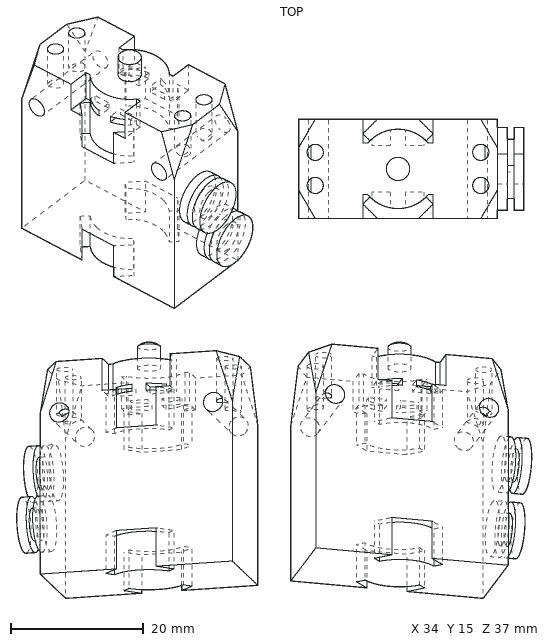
import cadquery as cq
import math

body_length = 30.0
body_width = 15.0
body_height = 33.0
half_length = body_length / 2
half_width = body_width / 2

facet_x = 2.5
facet_y = 4.33
facet_z = 8.0

plunger_diameter = 3.5
plunger_height = 4.0
dome_height = 0.65

cross_hole_diameter = 3.0
cross_hole_inset = 3.0
cross_hole_drop = 8.0
top_hole_diameter = 2.45
top_hole_inset = 2.5
top_hole_spacing = 5.0
top_hole_depth = 7.0

column_diameter = 12.0
corner_reach = half_width / math.sqrt(2)
mouth_half_width = 2 * corner_reach - half_width
upper_recess_depth = 5.0
upper_recess_floor = 3.9
upper_channel_depth = 11.0
lower_channel_depth = 6.0

window_inner_x = 1.1
window_outer_x = 3.92
window_height = 1.07
window_floor = 3.5

fitting_diameter = 8.5
fitting_length = 4.0
neck_diameter = 5.0
neck_length = 1.0
collar_length = (fitting_length - neck_length) / 2
fitting_offset_y = 2.0
lower_fitting_z = 9.3
upper_fitting_z = 18.25


def on_both_faces(cutter):
    """Repeat a cutter made for the -Y face on the +Y face."""
    return cutter.union(cutter.mirror("XZ"))


def make_body():
    body = cq.Workplane("XY").box(body_length, body_width, body_height, centered=(True, True, False))
    for side_x in (-1, 1):
        for side_y in (-1, 1):
            body = body.cut(corner_facet(side_x, side_y))
    return body


def corner_facet(side_x, side_y):
    """Tetrahedron that slices off one top corner of the body."""
    corner = cq.Vector(side_x * half_length, side_y * half_width, body_height)
    along_x = corner - cq.Vector(side_x * facet_x, 0, 0)
    along_y = corner - cq.Vector(0, side_y * facet_y, 0)
    along_z = corner - cq.Vector(0, 0, facet_z)
    triangles = [
        (corner, along_x, along_y),
        (corner, along_y, along_z),
        (corner, along_z, along_x),
        (along_x, along_y, along_z),
    ]
    faces = [cq.Face.makeFromWires(cq.Wire.makePolygon([*t, t[0]])) for t in triangles]
    return cq.Workplane(cq.Solid.makeSolid(cq.Shell.makeShell(faces)))


def column():
    return cq.Workplane("XY").circle(column_diameter / 2).extrude(body_height)


def channel(bottom, height):
    """Angled channel between the column and the -Y face, widest at its 45 degree corners."""
    outline = [
        (0, 0),
        (corner_reach, -corner_reach),
        (mouth_half_width, -half_width),
        (-mouth_half_width, -half_width),
        (-corner_reach, -corner_reach),
    ]
    wedge = cq.Workplane("XY").workplane(offset=bottom).polyline(outline).close().extrude(height)
    return wedge.cut(column())


def upper_recess():
    """Wide rectangular recess at the top of the -Y face, in front of the column."""
    recess_width = 2 * corner_reach
    recess_depth = half_width - upper_recess_floor
    recess = cq.Workplane("XY").box(
        recess_width, recess_depth, upper_recess_depth, centered=(True, False, False)
    )
    recess = recess.translate((0, -half_width, body_height - upper_recess_depth))
    return recess.cut(column())


def windows():
    """Pair of rectangular windows in the -Y side of the column."""
    window_width = window_outer_x - window_inner_x
    window_depth = half_width - window_floor
    window = cq.Workplane("XY").box(window_width, window_depth, window_height, centered=(False, False, False))
    window = window.translate((window_inner_x, -half_width, body_height - upper_recess_depth))
    return window.union(window.mirror("YZ"))


def cross_holes():
    hole_x = half_length - cross_hole_inset
    return (
        cq.Workplane("XZ", origin=(0, half_width, body_height - cross_hole_drop))
        .pushPoints([(-hole_x, 0), (hole_x, 0)])
        .circle(cross_hole_diameter / 2)
        .extrude(body_width)
    )


def top_holes():
    return (
        cq.Workplane("XY", origin=(0, 0, body_height))
        .rarray(body_length - 2 * top_hole_inset, top_hole_spacing, 2, 2)
        .circle(top_hole_diameter / 2)
        .extrude(-top_hole_depth)
    )


def plunger():
    radius = plunger_diameter / 2
    dome_radius = (radius**2 + dome_height**2) / (2 * dome_height)
    shank_height = plunger_height - dome_height
    dome_half_angle = math.asin(radius / dome_radius) / 2
    dome_middle = (
        dome_radius * math.sin(dome_half_angle),
        plunger_height - dome_radius * (1 - math.cos(dome_half_angle)),
    )
    return (
        cq.Workplane("XZ")
        .lineTo(radius, 0)
        .lineTo(radius, shank_height)
        .threePointArc(dome_middle, (0, plunger_height))
        .close()
        .revolve(360, (0, 0), (0, 1))
        .translate((0, 0, body_height))
    )


def fitting(centre_y, centre_z):
    """Two collars joined by a narrower neck."""
    outer_collar_x = collar_length + neck_length
    collar = cq.Workplane("YZ").circle(fitting_diameter / 2).extrude(collar_length)
    neck = cq.Workplane("YZ").circle(neck_diameter / 2).extrude(fitting_length)
    shape = neck.union(collar).union(collar.translate((outer_collar_x, 0, 0)))
    return shape.translate((half_length, centre_y, centre_z))


result = make_body()
for cutter in (
    upper_recess(),
    channel(body_height - upper_channel_depth, upper_channel_depth - upper_recess_depth),
    channel(0, lower_channel_depth),
    windows(),
):
    result = result.cut(on_both_faces(cutter))
result = result.cut(cross_holes()).cut(top_holes())
result = result.union(plunger())
result = result.union(fitting(fitting_offset_y, lower_fitting_z))
result = result.union(fitting(-fitting_offset_y, upper_fitting_z))